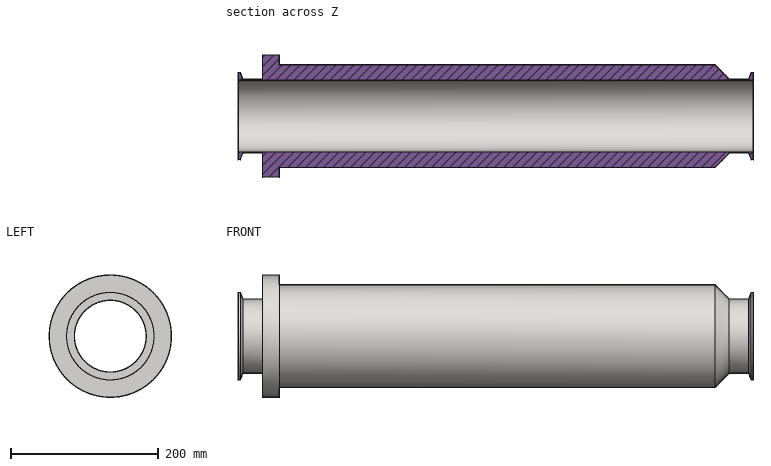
import cadquery as cq

length = 700.0
bore_diameter = 97.0
neck_diameter = 101.5
ferrule_diameter = 119.0
body_diameter = 140.0
collar_diameter = 166.5

ferrule_rim = 3.0
ferrule_taper = 3.5
inlet_length = 33.0
collar_width = 23.0
outlet_length = 33.0
reducer_length = 19.0

ferrule_length = ferrule_rim + ferrule_taper
collar_end = inlet_length + collar_width
reducer_end = length - outlet_length
reducer_start = reducer_end - reducer_length

bore_radius = bore_diameter / 2
neck_radius = neck_diameter / 2
ferrule_radius = ferrule_diameter / 2
body_radius = body_diameter / 2
collar_radius = collar_diameter / 2

inlet_points = [
    (0, bore_radius),
    (0, ferrule_radius),
    (ferrule_rim, ferrule_radius),
    (ferrule_length, neck_radius),
    (inlet_length, neck_radius),
]
body_points = [
    (inlet_length, collar_radius),
    (collar_end, collar_radius),
    (collar_end, body_radius),
    (reducer_start, body_radius),
]
outlet_points = [
    (reducer_end, neck_radius),
    (length - ferrule_length, neck_radius),
    (length - ferrule_rim, ferrule_radius),
    (length, ferrule_radius),
    (length, bore_radius),
]

result = (
    cq.Workplane("XY")
    .polyline(inlet_points + body_points + outlet_points)
    .close()
    .revolve(360, (0, 0, 0), (1, 0, 0))
)